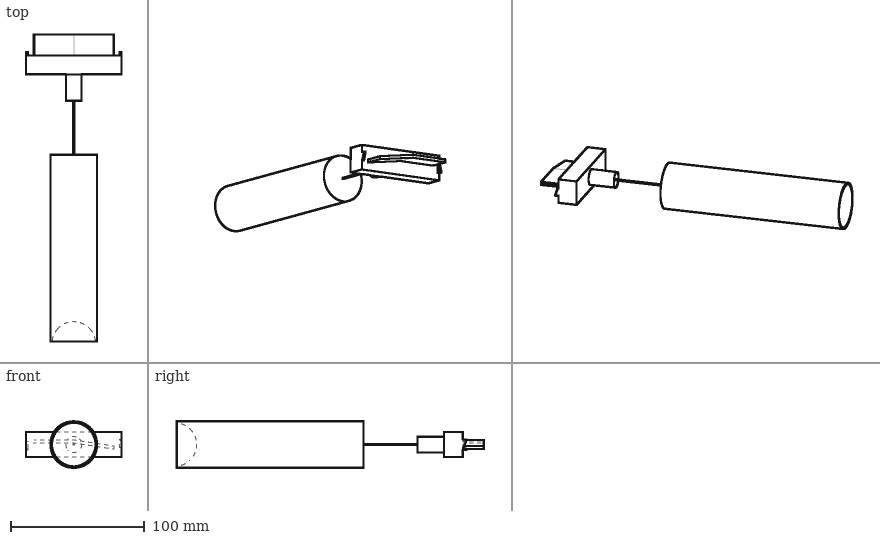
import cadquery as cq
import math

block_width = 71.5
block_depth = 14.2
block_height = 18.8

blade_width = 60.2
blade_reach = 15.6
blade_thickness = 2.3
blade_top = 3.5
blade_chamfer = 0.7

hook_width = 1.5
hook_reach = 2.5
hook_tip = 4.0
hook_tip_height = 0.7
hook_root = 2.3
hook_root_reach = 0.7

stem_diameter = 12.0
stem_length = 19.8
cord_diameter = 1.0
tube_diameter = 35.0
tube_length = 140.0
total_length = 229.8
reflector_diameter = 32.6
reflector_depth = 15.0

block_back = total_length - blade_reach
block_front = block_back - block_depth
stem_front = block_front - stem_length
overlap = 1.1


def rod(diameter, front, back):
    """Cylinder on the Y axis between two stations."""
    profile = cq.Workplane("XZ", origin=(0, back, 0)).circle(diameter / 2)
    return profile.extrude(back - front)


def make_blade():
    """Bent contact plate, sunk slightly into the block."""
    half = blade_width / 2
    low_bottom = -blade_top
    blade_bottom = blade_top - blade_thickness
    outline = [
        (-half, blade_top - blade_chamfer),
        (-half + blade_chamfer, blade_top),
        (0, blade_top),
        (half, low_bottom + blade_thickness),
        (half, low_bottom),
        (0, blade_bottom),
        (-half, blade_bottom),
    ]
    plane = cq.Workplane("XZ", origin=(0, total_length, 0))
    return plane.polyline(outline).close().extrude(blade_reach + overlap)


def make_hook():
    """Tapered hook at the left end, deepest at its lower tip."""
    outline = [
        (block_back - overlap, hook_root),
        (block_back + hook_root_reach, hook_root),
        (block_back + hook_reach, hook_tip_height - hook_tip),
        (block_back + hook_reach, -hook_tip),
        (block_back - overlap, -hook_tip),
    ]
    plane = cq.Workplane("YZ", origin=(-block_width / 2, 0, 0))
    return plane.polyline(outline).close().extrude(hook_width)


def make_tube():
    """Solid lamp body with a dished reflector in its front end."""
    rim = reflector_diameter / 2
    sphere_radius = (rim**2 + reflector_depth**2) / (2 * reflector_depth)
    half_angle = math.asin(rim / sphere_radius) / 2
    mid_depth = reflector_depth - sphere_radius + sphere_radius * math.cos(half_angle)
    mid_point = (sphere_radius * math.sin(half_angle), mid_depth)
    profile = cq.Workplane("XY").lineTo(rim, 0).threePointArc(mid_point, (0, reflector_depth)).close()
    reflector = profile.revolve(360, (0, 0), (0, 1))
    return rod(tube_diameter, 0, tube_length).cut(reflector)


block = cq.Workplane("XY").box(block_width, block_depth, block_height)
block = block.translate((0, block_front + block_depth / 2, 0))
left_hook = make_hook()
right_hook = left_hook.rotate((0, 0, 0), (0, 1, 0), 180)

result = block.union(make_blade()).union(left_hook).union(right_hook)
result = result.union(rod(stem_diameter, stem_front, block_front + overlap))
result = result.union(rod(cord_diameter, tube_length - overlap, stem_front + overlap))
result = result.union(make_tube())